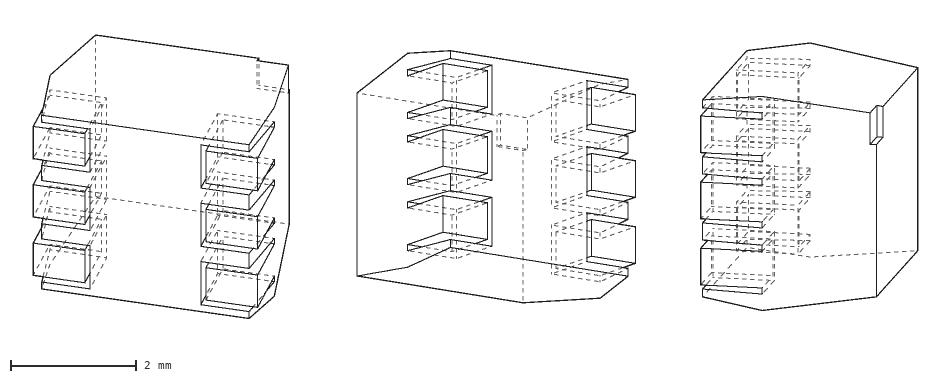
import cadquery as cq
import math

body_length = 3.7
body_height = 3.5
front_depth = 1.0
back_depth = 1.802
total_depth = front_depth + back_depth
draft_angle = 8.0
parting_y = front_depth - total_depth / 2
front_y = -total_depth / 2
back_y = total_depth / 2

lead_pitch = 1.08
lead_height = 0.6
lead_length = 0.85
lead_clearance = 0.1
end_clearance = 0.085
pocket_height = lead_height + 2 * lead_clearance
pocket_length = lead_length + end_clearance

notch_side = 0.505
notch_depth = 0.1


def box_between(x_range, y_range, z_range):
    """Axis-aligned box spanning three (low, high) ranges."""
    size = [high - low for low, high in (x_range, y_range, z_range)]
    corner = (x_range[0], y_range[0], z_range[0])
    return cq.Workplane("XY").box(*size, centered=False).translate(corner)


def make_body():
    """Both halves drafted away from the parting plane."""
    halves = []
    for direction, depth in ((1, back_depth), (-1, front_depth)):
        plane = cq.Plane(origin=(0, parting_y, 0), xDir=(1, 0, 0), normal=(0, direction, 0))
        half = cq.Workplane(plane).rect(body_length, body_height).extrude(depth, taper=draft_angle)
        halves.append(half)
    return halves[0].union(halves[1])


def make_side_block(side, z, length, height):
    """Block from the parting plane to the front face, flush with one X side."""
    outer = side * body_length / 2
    inner = outer - side * length
    return box_between(
        (min(outer, inner), max(outer, inner)),
        (front_y, parting_y),
        (z - height / 2, z + height / 2),
    )


def make_notch():
    """Square recess in the +X, +Z corner of the back face."""
    draft_inset = back_depth * math.tan(math.radians(draft_angle))
    corner_x = body_length / 2 - draft_inset
    corner_z = body_height / 2 - draft_inset
    return box_between(
        (corner_x - notch_side, body_length / 2),
        (back_y - notch_depth, back_y),
        (corner_z - notch_side, body_height / 2),
    )


result = make_body().cut(make_notch())
for side in (-1, 1):
    for row in (-1, 0, 1):
        z = row * lead_pitch
        pocket = make_side_block(side, z, pocket_length, pocket_height)
        lead = make_side_block(side, z, lead_length, lead_height)
        result = result.cut(pocket).union(lead)